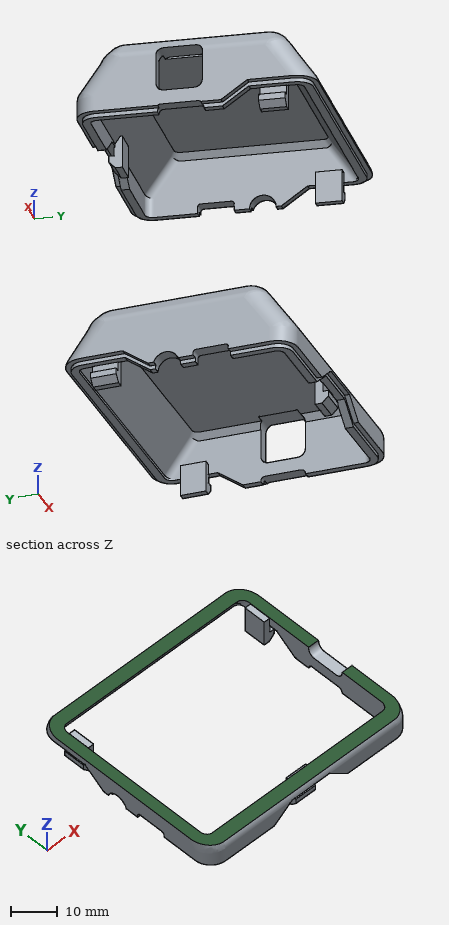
import cadquery as cq
import math

length_x = 59.95
width_y = 52.65
height = 17.8

slope_angle = math.radians(55)
break_z_ends = 14.2
break_z_sides = 6.5
corner_radius = 4.6
ends_break_radius = 2.5
sides_break_radius = 3.0
top_radius = 2.5
wall = 3.0

rim_z = 1.7
raised_z = 5.75
step_low_y = 6.1
step_high_y = 11.9
notch_low_half = 10.9
notch_high_half = 5.6

lip_drop = 0.9
lip_inset_x = 1.4
lip_inset_y = 1.15

tab_width = 5.8
tab_inset = 4.6
tab_stem = 1.8
tab_hook = 1.2
tab_hook_low_z = 1.45
tab_hook_top_z = 2.8
tab_top_z = 7.2
end_tab_y = 16.85

cable_y = 2.05
cable_radius = 2.9
slot_y_min = -12.2
slot_y_max = -4.2
slot_top_z = 2.95
slot_radius = 0.65

window_y_min = -8.1
window_y_max = 2.05
window_top_z = 15.25
window_radius = 1.8
passage_top_z = 1.9
passage_radius = 1.0

lip_z = rim_z - lip_drop
cutter_reach = 2 * wall
far = 2 * length_x


def leaning_prism(plane, half_width, break_z, top_z):
    """Prism with upright walls below break_z and leaning walls above it."""
    top_half = half_width - (top_z - break_z) / math.tan(slope_angle)
    outline = [
        (-half_width, 0),
        (half_width, 0),
        (half_width, break_z),
        (top_half, top_z),
        (-top_half, top_z),
        (-half_width, break_z),
    ]
    return cq.Workplane(plane).polyline(outline).close().extrude(far, both=True)


def break_edges(break_z):
    """Selector for the horizontal edges that lie at the break height."""
    tolerance = 0.05
    low_corner = (-far, -far, break_z - tolerance)
    high_corner = (far, far, break_z + tolerance)
    return cq.selectors.BoxSelector(low_corner, high_corner)


def outer_cover():
    """Solid outer form with rounded breaks, rounded corners and a rounded top rim."""
    ends = leaning_prism("XZ", length_x / 2, break_z_ends, height)
    ends = ends.edges(break_edges(break_z_ends)).fillet(ends_break_radius)
    sides = leaning_prism("YZ", width_y / 2, break_z_sides, height)
    sides = sides.edges(break_edges(break_z_sides)).fillet(sides_break_radius)
    cover = ends.intersect(sides)
    cover = cover.edges("|Z").fillet(corner_radius)
    return cover.faces(">Z").edges().fillet(top_radius)


def cavity():
    """Hollow inside the cover, one wall thickness in from every outer face."""
    break_drop = wall * math.tan((math.pi / 2 - slope_angle) / 2)
    top_z = height - wall
    ends = leaning_prism("XZ", length_x / 2 - wall, break_z_ends - break_drop, top_z)
    sides = leaning_prism("YZ", width_y / 2 - wall, break_z_sides - break_drop, top_z)
    return ends.intersect(sides).edges("not #Z").fillet(corner_radius - wall)


def below_edge(low_z):
    """Space under a lower edge: a step up toward +Y and a notch in the -Y wall."""
    high_z = low_z + raised_z - rim_z
    step = (
        cq.Workplane("YZ")
        .polyline([
            (-far, -far), (far, -far), (far, high_z), (step_high_y, high_z),
            (step_low_y, low_z), (-far, low_z),
        ])
        .close()
        .extrude(far, both=True)
    )
    notch_start_y = -width_y / 4
    notch = (
        cq.Workplane("XZ", origin=(0, notch_start_y, 0))
        .polyline([
            (-notch_low_half, low_z), (-notch_high_half, high_z),
            (notch_high_half, high_z), (notch_low_half, low_z),
        ])
        .close()
        .extrude(far)
    )
    return step.union(notch)


def lip_envelope():
    """Upright block whose sides are the outer faces of the lip."""
    return (
        cq.Workplane("XY")
        .rect(length_x - 2 * lip_inset_x, width_y - 2 * lip_inset_y)
        .extrude(height)
        .edges("|Z")
        .fillet(corner_radius - lip_inset_y)
    )


def snap_tab(wall_distance):
    """Snap tab on the -Y wall, centred on X = 0, for an outer face at the given distance."""
    inner = tab_inset - wall_distance
    stem = inner - tab_stem
    tip = stem - tab_hook
    return (
        cq.Workplane("YZ")
        .polyline([
            (inner, 0), (inner, tab_top_z), (stem, tab_top_z), (stem, tab_hook_top_z),
            (tip, tab_hook_top_z), (tip, tab_hook_low_z), (tip + tab_hook_low_z, 0),
        ])
        .close()
        .extrude(tab_width / 2, both=True)
    )


def wall_opening(x_wall, y_min, y_max, z_min, z_max, radius):
    """Cutter with rounded corners through an end wall centred on x_wall."""
    return (
        cq.Workplane("XY")
        .box(2 * cutter_reach, y_max - y_min, z_max - z_min)
        .edges("|X")
        .fillet(radius)
        .translate((x_wall, (y_min + y_max) / 2, (z_min + z_max) / 2))
    )


cover = outer_cover()
wall_part = cover.cut(below_edge(rim_z))
lip_part = cover.intersect(lip_envelope()).cut(below_edge(lip_z))
shell = wall_part.union(lip_part).cut(cavity())

cable_entry = (
    cq.Workplane("YZ", origin=(-length_x / 2, 0, 0))
    .center(cable_y, lip_z)
    .circle(cable_radius)
    .extrude(cutter_reach, both=True)
)
slot = wall_opening(-length_x / 2, slot_y_min, slot_y_max, -slot_top_z, slot_top_z, slot_radius)

window_bottom_z = window_top_z - (window_y_max - window_y_min)
window = wall_opening(
    length_x / 2, window_y_min, window_y_max, window_bottom_z, window_top_z, window_radius
)
passage = wall_opening(
    length_x / 2, window_y_min, window_y_max, -passage_top_z, passage_top_z, passage_radius
)

front_tab = snap_tab(width_y / 2)
left_tab = snap_tab(length_x / 2).rotate((0, 0, 0), (0, 0, 1), -90).translate((0, end_tab_y, 0))
right_tab = left_tab.mirror("YZ")

result = shell.cut(cable_entry).cut(slot).cut(window).cut(passage)
result = result.union(front_tab).union(left_tab).union(right_tab).solids()